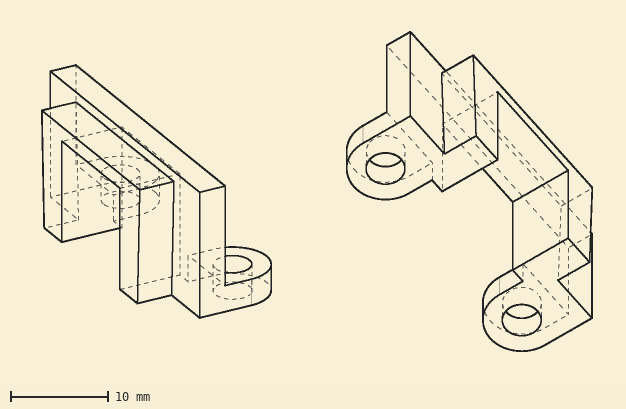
import cadquery as cq

plate_width = 32.0
plate_height = 14.4
plate_thickness = 3.0

frame_bottom_width = 20.0
frame_top_width = 21.0
frame_height = 13.25
frame_depth = 4.0

opening_width = 12.4
opening_height = 11.6

lug_radius = 4.0
lug_thickness = 3.0
lug_hole_diameter = 4.0
lug_hole_offset = 3.0
lug_x = plate_width / 2 - lug_radius


def make_plate():
    return cq.Workplane("XY").box(
        plate_width, plate_thickness, plate_height, centered=(True, False, False)
    ).translate((0, -plate_thickness, 0))


def make_frame():
    return (
        cq.Workplane("XZ", origin=(0, -plate_thickness, 0))
        .moveTo(-frame_bottom_width / 2, 0)
        .lineTo(frame_bottom_width / 2, 0)
        .lineTo(frame_top_width / 2, frame_height)
        .lineTo(-frame_top_width / 2, frame_height)
        .close()
        .extrude(frame_depth)
    )


def make_opening():
    total_depth = plate_thickness + frame_depth
    return cq.Workplane("XY").box(
        opening_width, total_depth, opening_height, centered=(True, False, False)
    ).translate((0, -total_depth, 0))


def make_lug(x):
    lug = (
        cq.Workplane("XY")
        .moveTo(x - lug_radius, 0)
        .lineTo(x + lug_radius, 0)
        .lineTo(x + lug_radius, lug_hole_offset)
        .threePointArc((x, lug_hole_offset + lug_radius), (x - lug_radius, lug_hole_offset))
        .close()
        .extrude(lug_thickness)
    )
    hole = (
        cq.Workplane("XY")
        .center(x, lug_hole_offset)
        .circle(lug_hole_diameter / 2)
        .extrude(lug_thickness)
    )
    return lug.cut(hole)


result = make_plate().union(make_frame()).cut(make_opening())
for x in (-lug_x, lug_x):
    result = result.union(make_lug(x))